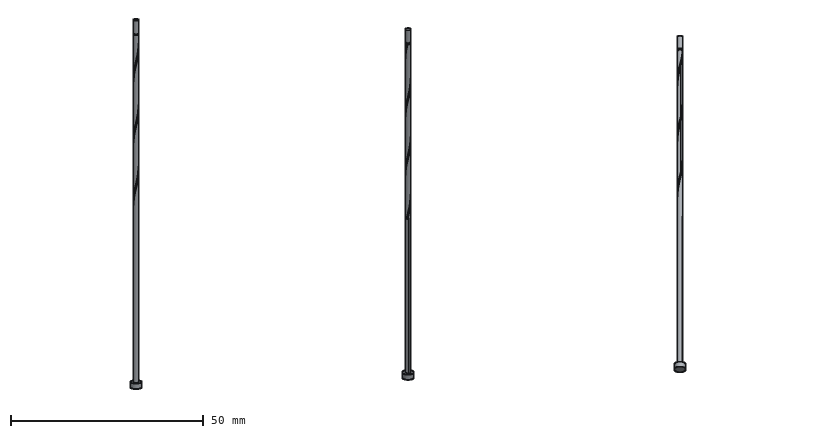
import cadquery as cq

total_length = 100.0
head_diameter = 3.0
head_height = 1.5
shaft_diameter = 1.5
shaft_radius = shaft_diameter / 2

vent_depth = 0.2
groove_width = 0.3
vent_floor_radius = shaft_radius - vent_depth

ring_groove_top = total_length - 3.75
ring_groove_bottom = ring_groove_top - groove_width

helix_turns = 3
helix_pitch = 16.7
helix_start_angle = 90.0
helix_height = helix_turns * helix_pitch
helix_bottom = ring_groove_bottom - helix_height

cutter_overrun = 0.2
cutter_radius = shaft_radius + cutter_overrun
cutter_depth = cutter_radius - vent_floor_radius
cutter_middle_radius = (cutter_radius + vent_floor_radius) / 2


def pin_blank():
    """Round shaft with a flat cylindrical head at its foot."""
    head = cq.Workplane("XY").circle(head_diameter / 2).extrude(head_height)
    shaft = cq.Workplane("XY").circle(shaft_radius).extrude(total_length)
    return head.union(shaft)


def ring_groove():
    """Ring that cuts the groove around the shaft near its tip."""
    return (
        cq.Workplane("XY", origin=(0, 0, ring_groove_bottom))
        .circle(cutter_radius)
        .circle(vent_floor_radius)
        .extrude(groove_width)
    )


def helical_groove():
    """Slot section twisted around the pin axis as it rises to the ring groove."""
    return (
        cq.Workplane("XY")
        .pushPoints([(cutter_middle_radius, 0)])
        .rect(cutter_depth, groove_width)
        .twistExtrude(helix_height, 360 * helix_turns)
        .rotate((0, 0, 0), (0, 0, 1), helix_start_angle)
        .translate((0, 0, helix_bottom))
    )


def vent_flat():
    """Block that cuts the +Y flat from the head up to the foot of the helix."""
    return (
        cq.Workplane("XY", origin=(0, 0, head_height))
        .pushPoints([(0, cutter_middle_radius)])
        .rect(2 * cutter_radius, cutter_depth)
        .extrude(helix_bottom - head_height)
    )


result = pin_blank().cut(ring_groove()).cut(helical_groove()).cut(vent_flat())